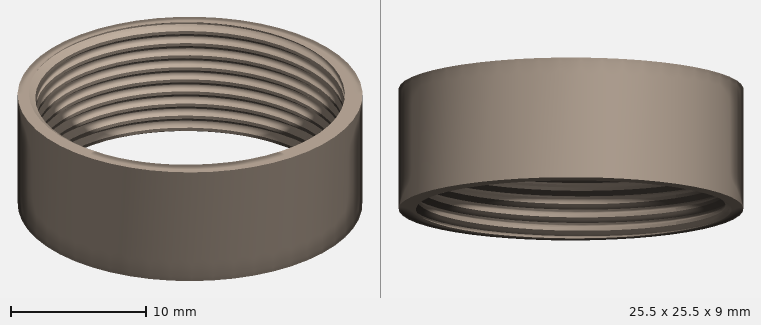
import cadquery as cq
import math

outer_radius = 12.75
height = 9.0
thread_turns = 9
root_radius = 11.98

pitch = height / thread_turns
flank_slope = math.tan(math.radians(30))
root_flat = pitch / 8
crest_flat = pitch / 4
groove_depth = (pitch - root_flat - crest_flat) / (2 * flank_slope)
crest_radius = root_radius - groove_depth

bore_overlap = 0.08
overrun_turns = 1


def make_cylinder(radius):
    """Solid cylinder of the ring's full height."""
    return cq.Workplane("XY").circle(radius).extrude(height)


def make_thread_groove():
    """Right-handed trapezoidal groove starting at +X."""
    start_z = -overrun_turns * pitch
    inner_radius = crest_radius - bore_overlap
    half_root = root_flat / 2
    half_mouth = half_root + (root_radius - inner_radius) * flank_slope
    profile = (
        cq.Workplane("XZ")
        .moveTo(inner_radius, start_z - half_mouth)
        .lineTo(root_radius, start_z - half_root)
        .lineTo(root_radius, start_z + half_root)
        .lineTo(inner_radius, start_z + half_mouth)
        .close()
    )
    path_height = height + 2 * overrun_turns * pitch
    helix = cq.Wire.makeHelix(pitch, path_height, crest_radius, center=cq.Vector(0, 0, start_z))
    return profile.sweep(cq.Workplane(obj=helix), isFrenet=True)


threaded_ring = make_cylinder(outer_radius).cut(make_thread_groove()).cut(make_cylinder(crest_radius))

result = threaded_ring.rotate((0, 0, 0), (0, 0, 1), 180)